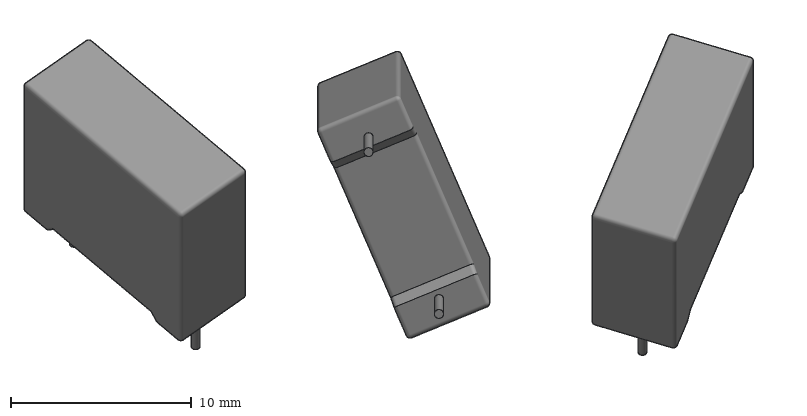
import cadquery as cq

total_height = 14.5
lead_length = 3.51
case_height = total_height - lead_length
case_width = 13.0
case_depth = 5.0
edge_radius = 0.25

foot_width = 2.03
recess_height = 0.5

lead_pitch = 10.0
lead_diameter = 0.51
lead_embed = 0.72


def make_case():
    """Box with a trapezoidal relief through its underside and rounded outer edges."""
    half_width = case_width / 2
    foot_end = half_width - foot_width
    recess_end = foot_end - recess_height
    profile = (
        cq.Workplane("XZ")
        .moveTo(-half_width, 0)
        .lineTo(-foot_end, 0)
        .lineTo(-recess_end, recess_height)
        .lineTo(recess_end, recess_height)
        .lineTo(foot_end, 0)
        .lineTo(half_width, 0)
        .lineTo(half_width, case_height)
        .lineTo(-half_width, case_height)
        .close()
    )
    case = profile.extrude(case_depth / 2, both=True)
    return case.edges("(not |Y) or <X or >X").fillet(edge_radius)


def make_leads():
    """Two straight round leads, running from inside the feet down to their free ends."""
    return (
        cq.Workplane("XY", origin=(0, 0, -lead_length))
        .pushPoints([(-lead_pitch / 2, 0), (lead_pitch / 2, 0)])
        .circle(lead_diameter / 2)
        .extrude(lead_length + lead_embed)
    )


result = make_case().union(make_leads())